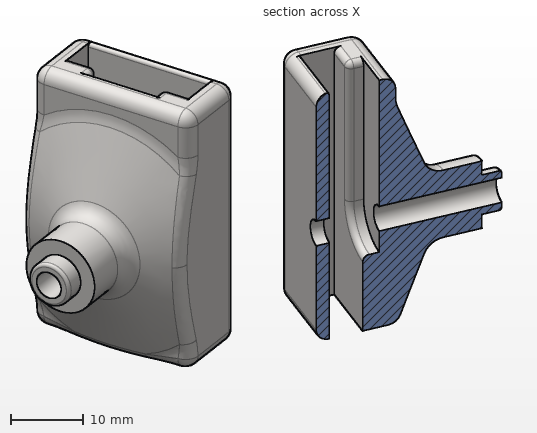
import cadquery as cq
import math

width = 26.0
height = 41.0
depth = 12.0
edge_round = 2.0

axis_height = 18.0
cone_angle = math.radians(21.4)
cone_edge_radius = 18.57
dome_blend = 5.0
neck_radius = 5.6
neck_blend = 3.0
neck_end = 25.0
nose_radius = 3.32
nose_end = 28.0
nose_round = 0.5
bore_diameter = 4.0

pocket_width = 20.05
pocket_back = edge_round
pocket_front = 7.0
back_rim_round = 0.5

channel_radius = 5.5
channel_front = 9.5
channel_rim_round = 1.0


def box_between(size_x, near_y, far_y, low_z, high_z):
    """Box centred on X, with near_y and far_y measured forward from the back face."""
    block = cq.Workplane("XY").box(size_x, far_y - near_y, high_z - low_z)
    return block.translate((0, -(near_y + far_y) / 2, (low_z + high_z) / 2))


def axis_plane():
    """Sketch plane facing forward from the back face, centred on the spigot axis."""
    return cq.Workplane("XZ", origin=(0, 0, axis_height))


def make_turned_front():
    """Disc covering the whole front, rising through a blended cone to the neck."""
    sine = math.sin(cone_angle)
    cosine = math.cos(cone_angle)
    disc_radius = 2 * height
    cone_top = depth + (cone_edge_radius - neck_radius) * math.tan(cone_angle)

    dome_tangent = dome_blend * math.tan(cone_angle / 2)
    dome_outer = cone_edge_radius + dome_tangent
    dome_mid = (
        dome_outer - dome_blend * math.sin(cone_angle / 2),
        -(depth + dome_blend * (1 - math.cos(cone_angle / 2))),
    )
    dome_inner = (cone_edge_radius - dome_tangent * cosine, -(depth + dome_tangent * sine))

    turn = math.pi / 2 - cone_angle
    neck_tangent = neck_blend * math.tan(turn / 2)
    neck_outer = (neck_radius + neck_tangent * cosine, -(cone_top - neck_tangent * sine))
    neck_mid = (
        neck_radius + neck_blend * (1 - math.cos(turn / 2)),
        -(cone_top + neck_tangent - neck_blend * math.sin(turn / 2)),
    )
    neck_start = (neck_radius, -(cone_top + neck_tangent))

    profile = (
        cq.Workplane("XY", origin=(0, 0, axis_height))
        .lineTo(disc_radius, 0)
        .lineTo(disc_radius, -depth)
        .lineTo(dome_outer, -depth)
        .threePointArc(dome_mid, dome_inner)
        .lineTo(*neck_outer)
        .threePointArc(neck_mid, neck_start)
        .lineTo(neck_radius, -neck_end)
        .lineTo(0, -neck_end)
        .close()
    )
    return profile.revolve(360, (0, 0, 0), (0, 1, 0))


def make_body():
    """Turned front trimmed to the rectangular housing, with its outer edges rounded."""
    body = make_turned_front().intersect(box_between(width, 0, neck_end, 0, height))
    outer_edges = body.faces("<X or >X or <Z or >Z or >Y").edges()
    return outer_edges.fillet(edge_round)


def make_nose():
    """Short tip on the end of the neck, with a rounded front edge."""
    nose = axis_plane().workplane(offset=neck_end).circle(nose_radius).extrude(nose_end - neck_end)
    return nose.faces("<Y").edges().fillet(nose_round)


def make_channel():
    """Cutter for the channel, reaching from mid-pocket into the front wall."""
    start = (pocket_back + pocket_front) / 2
    length = channel_front - start
    round_end = axis_plane().workplane(offset=start).circle(channel_radius).extrude(length)
    straight = box_between(2 * channel_radius, start, channel_front, axis_height, height)
    return round_end.union(straight)


def edges_inside(part, half_width, near_y, far_y, low_z, high_z):
    """Edges of the part whose centres lie in the given range, symmetric about X = 0."""
    region = cq.selectors.BoxSelector((-half_width, -far_y, low_z), (half_width, -near_y, high_z))
    return part.edges(region)


def make_back_rim_cutter():
    """Cutter that rounds the back rim, tangent to the outer rounding and the pocket wall."""
    centre_gap = edge_round - back_rim_round
    slope = math.asin((pocket_back - centre_gap) / centre_gap)
    centre_y = -centre_gap
    centre_z = height - edge_round + centre_gap * math.cos(slope)

    def on_rim(angle):
        """Point (Y, Z) of the rim arc at an angle from straight up, positive towards the pocket."""
        return (centre_y - back_rim_round * math.sin(angle), centre_z + back_rim_round * math.cos(angle))

    outer_end = on_rim(-slope)
    return (
        cq.Workplane("YZ")
        .moveTo(*outer_end)
        .threePointArc(on_rim((math.pi / 2 - slope) / 2), on_rim(math.pi / 2))
        .lineTo(-pocket_front, centre_z)
        .lineTo(-pocket_front, height)
        .lineTo(outer_end[0], height)
        .close()
        .extrude(pocket_width / 2, both=True)
    )


def round_front_rim(part):
    """Round the front rim of the pocket together with the edges of the channel."""
    slack = 0.05
    half_width = pocket_width / 2 - slack
    wall_rim = edges_inside(
        part, half_width, pocket_front - slack, pocket_front + slack, slack, height + slack
    )
    mouth_sides = edges_inside(
        part, half_width, pocket_front + slack, channel_front - slack, height - slack, height + slack
    )
    return wall_rim.add(mouth_sides).fillet(channel_rim_round)


result = make_body().union(make_nose())
result = result.cut(box_between(pocket_width, pocket_back, pocket_front, 0, height))
result = result.cut(make_channel())
result = round_front_rim(result)
result = result.cut(make_back_rim_cutter())
result = result.cut(axis_plane().circle(bore_diameter / 2).extrude(nose_end))